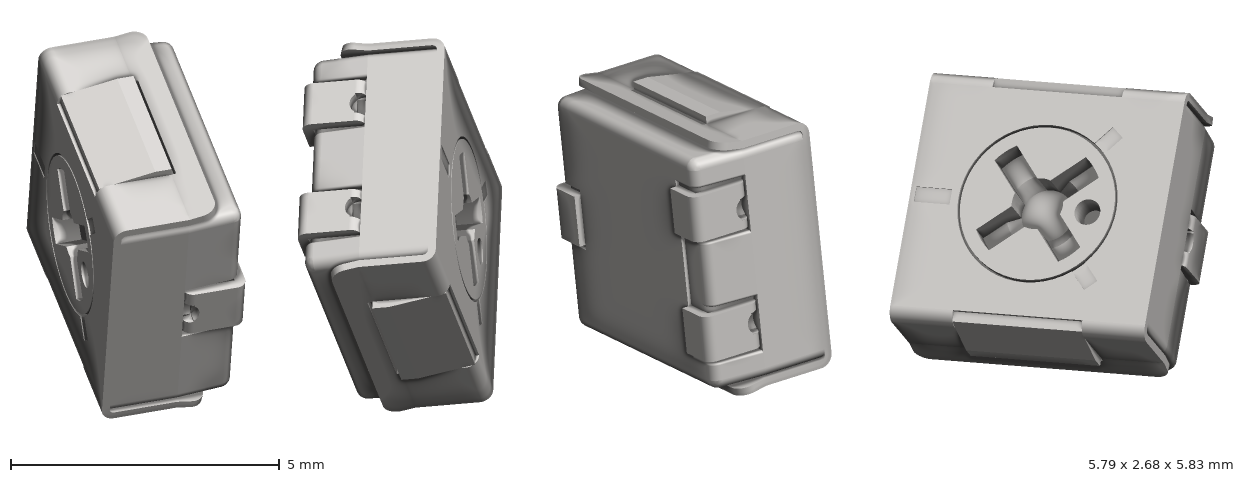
import cadquery as cq
import math

TILT = 10.0

SHEET = 0.15
WIDTH = 5.0
COVER_HEIGHT = 4.9
BEND_OUTER = 0.25
BEND_INNER = BEND_OUTER - SHEET
FLARE_START = 1.466
FLAP_END = 2.05
FLARE_ANGLE = 10.0
FLAP_CORNER = 0.3
ROTOR_WINDOW_DIAMETER = 3.1

TAB_WIDTH = 2.54
TAB_LIFT = 0.15
TAB_SETBACK = 0.05
TAB_STEP = 0.07
TAB_RAMP_START = 0.3
TAB_RAMP_END = 1.15
TAB_WINDOW_END = 1.56

MARK_DEPTH = 0.02
MARK_WIDTH = 0.3
SIDE_MARK_LENGTH = 0.7
SIDE_MARK_EDGE_GAP = 0.1
STOP_MARK_ANGLE = 49.0
STOP_MARK_OUTER = 2.0

HOUSING_HEIGHT = COVER_HEIGHT - 2 * SHEET
SHELF = FLARE_START
HOUSING_BACK = 2.55
SIDE_DRAFT = 5.0
HOUSING_FILLET = 0.2
CHANNEL_EDGE_FILLET = 0.05

TERMINAL_STRIP = 0.2
TERMINAL_OUTER = 2.55
TERMINAL_BACK = 2.68
TERMINAL_REACH = 1.775
TERMINAL_HOLE_DIAMETER = 0.45
TERMINAL_HOLE_SETBACK = 0.071
LEFT_TERMINAL_WIDTH = 0.9
LEFT_TERMINAL_OFFSET = 1.2
LEFT_HOLE_SHIFT = 0.06
RIGHT_TERMINAL_WIDTH = 1.0
CHANNEL_CLEARANCE = 0.1
CHANNEL_FLOOR = TERMINAL_OUTER - TERMINAL_STRIP
RECESS_LEVEL = TERMINAL_BACK - TERMINAL_STRIP

ROTOR_DIAMETER = 3.0
ROTOR_DEPTH = 1.2
SLOT_ANGLE = 40.0
SLOT_WIDTH = 0.5
SLOT_RADIUS = 1.25
SLOT_DEPTH = 0.5
CENTRE_DIAMETER = 1.0
CENTRE_DEPTH = 0.7
CONE_RADIUS = 0.74
DOT_ANGLE = -5.0
DOT_RADIUS = 1.0
DOT_DIAMETER = 0.5
DOT_FLOOR_DIAMETER = 0.4
DOT_DEPTH = 0.5


def block(x_range, y_range, z_range):
    """Box between pairs of limits along each axis."""
    size = [limits[1] - limits[0] for limits in (x_range, y_range, z_range)]
    corner = (x_range[0], y_range[0], z_range[0])
    return cq.Workplane("XY").box(*size, centered=False).translate(corner)


def disc(diameter, start, end):
    """Cylinder along Y, centred on the rotor axis."""
    return cq.Workplane("XZ", origin=(0, start, 0)).circle(diameter / 2).extrude(start - end)


def turned(shape, angle):
    """Turn a shape about the rotor axis, counterclockwise as the face is looked at."""
    return shape.rotate((0, 0, 0), (0, 1, 0), -angle)


def bent_sheet():
    """Upper half of the cover: half the face plate, the bend and the flared flap."""
    outer = COVER_HEIGHT / 2
    inner = outer - SHEET
    bend_line = outer - BEND_OUTER
    flare = math.radians(FLARE_ANGLE)
    inner_tip_rise = (FLAP_END - FLARE_START) * math.tan(flare)
    tip_lean = SHEET * math.sin(flare)
    tip_height = SHEET * math.cos(flare)
    diagonal = math.sqrt(0.5)
    sheet = (
        cq.Workplane("YZ", origin=(-WIDTH / 2, 0, 0))
        .moveTo(0, 0)
        .lineTo(0, bend_line)
        .threePointArc(
            (BEND_OUTER * (1 - diagonal), bend_line + BEND_OUTER * diagonal),
            (BEND_OUTER, outer),
        )
        .lineTo(FLARE_START, outer)
        .lineTo(FLAP_END - tip_lean, inner + inner_tip_rise + tip_height)
        .lineTo(FLAP_END, inner + inner_tip_rise)
        .lineTo(FLARE_START, inner)
        .lineTo(BEND_OUTER, inner)
        .threePointArc(
            (BEND_OUTER - BEND_INNER * diagonal, bend_line + BEND_INNER * diagonal),
            (SHEET, bend_line),
        )
        .lineTo(SHEET, 0)
        .close()
        .extrude(WIDTH)
    )
    return sheet.faces(">Y").edges("not |X").fillet(FLAP_CORNER)


def spring_tab():
    """Tab that leaves the face plate behind a small step, ramps outward and ends level with the shelf."""
    outer = COVER_HEIGHT / 2
    bend_line = outer - BEND_OUTER
    front = outer - TAB_SETBACK
    profile = [
        (TAB_STEP, bend_line - SHEET),
        (TAB_STEP, front),
        (TAB_RAMP_END, outer + TAB_LIFT),
        (FLARE_START, outer + TAB_LIFT),
        (FLARE_START, outer + TAB_LIFT - SHEET),
        (TAB_RAMP_END, outer + TAB_LIFT - SHEET),
        (TAB_RAMP_START, outer - SHEET),
        (SHEET, outer - SHEET),
        (SHEET, bend_line - SHEET),
    ]
    return cq.Workplane("YZ", origin=(-TAB_WIDTH / 2, 0, 0)).polyline(profile).close().extrude(TAB_WIDTH)


def make_cover():
    half = bent_sheet()
    bend_line = COVER_HEIGHT / 2 - BEND_OUTER
    tab_sides = (-TAB_WIDTH / 2, TAB_WIDTH / 2)
    half = half.cut(block(tab_sides, (0, TAB_WINDOW_END), (bend_line, COVER_HEIGHT)))
    half = half.union(spring_tab())
    cover = half.union(half.mirror("XY"))
    cover = cover.cut(disc(ROTOR_WINDOW_DIAMETER, 0, SHEET))

    mark_sides = (-MARK_WIDTH / 2, MARK_WIDTH / 2)
    mark_start = -WIDTH / 2 + SIDE_MARK_EDGE_GAP
    cover = cover.cut(block((mark_start, mark_start + SIDE_MARK_LENGTH), (0, MARK_DEPTH), mark_sides))
    stop_mark = block((ROTOR_DIAMETER / 2, STOP_MARK_OUTER), (0, MARK_DEPTH), mark_sides)
    for angle in (-STOP_MARK_ANGLE, STOP_MARK_ANGLE):
        cover = cover.cut(turned(stop_mark, angle))
    return cover


def terminal_blank(width):
    """C-shaped strip on the -X side: foot, upright and solder tongue."""
    strip = block(
        (-TERMINAL_OUTER, -TERMINAL_REACH), (SHELF, TERMINAL_BACK), (-width / 2, width / 2)
    )
    strip = strip.faces("<X").edges("|Z").fillet(TERMINAL_STRIP)
    hollow = block(
        (-CHANNEL_FLOOR, 0), (SHELF + TERMINAL_STRIP, RECESS_LEVEL), (-width / 2, width / 2)
    )
    return strip.cut(hollow)


def make_terminal(width, hole_shift):
    """Terminal strip with a hole through its bend, open in both the upright and the foot."""
    upright_hole = (
        cq.Workplane("YZ", origin=(-TERMINAL_OUTER, SHELF + TERMINAL_HOLE_SETBACK, hole_shift))
        .circle(TERMINAL_HOLE_DIAMETER / 2)
        .extrude(TERMINAL_STRIP)
    )
    foot_hole = disc(TERMINAL_HOLE_DIAMETER, SHELF, SHELF + TERMINAL_STRIP)
    foot_hole = foot_hole.translate((TERMINAL_HOLE_SETBACK - TERMINAL_OUTER, 0, hole_shift))
    return terminal_blank(width).cut(upright_hole).cut(foot_hole)


def drafted_block(back, half_height):
    """Block from the shelf to a given back level, narrowing in X with the side draft."""
    shelf_half_width = WIDTH / 2
    back_half_width = shelf_half_width - (back - SHELF) * math.tan(math.radians(SIDE_DRAFT))
    return (
        cq.Workplane("XY", origin=(0, 0, -half_height))
        .polyline([
            (-shelf_half_width, SHELF),
            (shelf_half_width, SHELF),
            (back_half_width, back),
            (-back_half_width, back),
        ])
        .close()
        .extrude(2 * half_height)
    )


def terminal_saddle(reach):
    """Lowered part of the crown that the -X terminals wrap around."""
    saddle = block((-CHANNEL_FLOOR, -TERMINAL_REACH), (SHELF, RECESS_LEVEL), (-reach, reach))
    return saddle.faces(">Y").edges("<X").fillet(HOUSING_FILLET)


def make_housing():
    half_width = WIDTH / 2
    half_height = HOUSING_HEIGHT / 2
    base = block((-half_width, half_width), (SHEET, SHELF), (-half_height, half_height))
    rounded_front = base.faces("<Y").edges("|X").fillet(BEND_INNER)
    base = base.edges("|Y").fillet(HOUSING_FILLET).intersect(rounded_front)

    crown = drafted_block(HOUSING_BACK, half_height)
    crown = crown.edges("not(|X or |Z)").fillet(HOUSING_FILLET)
    crown = crown.faces(">Y").edges().fillet(HOUSING_FILLET)

    left_reach = LEFT_TERMINAL_OFFSET + LEFT_TERMINAL_WIDTH / 2 + CHANNEL_CLEARANCE
    right_reach = RIGHT_TERMINAL_WIDTH / 2 + CHANNEL_CLEARANCE
    divider_reach = LEFT_TERMINAL_OFFSET - LEFT_TERMINAL_WIDTH / 2 - CHANNEL_CLEARANCE
    beyond_reach = (-WIDTH, -TERMINAL_REACH)
    depth = (SHELF, TERMINAL_BACK)
    left_station = block(beyond_reach, depth, (-left_reach, left_reach))
    right_station = block(beyond_reach, depth, (-right_reach, right_reach)).mirror("YZ")
    divider = drafted_block(RECESS_LEVEL, divider_reach)
    divider = divider.faces(">Y").edges("<X").fillet(HOUSING_FILLET)
    divider = divider.faces("<Z or >Z").edges("not(|X or |Y)").fillet(CHANNEL_EDGE_FILLET)
    crown = crown.cut(left_station)
    station_edges = cq.selectors.BoxSelector(
        (-WIDTH, SHELF, -left_reach - CHANNEL_EDGE_FILLET),
        (-CHANNEL_FLOOR, HOUSING_BACK, left_reach + CHANNEL_EDGE_FILLET),
    )
    crown = crown.edges(station_edges).edges("not(|X or |Y or |Z)").fillet(CHANNEL_EDGE_FILLET)
    crown = (
        crown.cut(right_station)
        .union(terminal_saddle(left_reach))
        .union(terminal_saddle(right_reach).mirror("YZ"))
        .union(divider.intersect(left_station))
    )

    housing = base.union(crown)
    return housing.cut(disc(ROTOR_DIAMETER, SHEET, ROTOR_DEPTH))


def make_rotor():
    rotor = disc(ROTOR_DIAMETER, 0, ROTOR_DEPTH)
    slot_half = SLOT_WIDTH / 2
    arm = block((-SLOT_RADIUS, SLOT_RADIUS), (0, CENTRE_DEPTH), (-slot_half, slot_half))
    cross = turned(arm, SLOT_ANGLE).union(turned(arm, SLOT_ANGLE + 90))
    cone = cq.Workplane(
        cq.Solid.makeCone(
            CONE_RADIUS,
            CENTRE_DIAMETER / 2,
            CENTRE_DEPTH - SLOT_DEPTH,
            pnt=cq.Vector(0, SLOT_DEPTH, 0),
            dir=cq.Vector(0, 1, 0),
        )
    )
    rotor = rotor.cut(cross.intersect(disc(2 * SLOT_RADIUS, 0, SLOT_DEPTH)))
    rotor = rotor.cut(cross.intersect(cone))
    rotor = rotor.cut(disc(CENTRE_DIAMETER, 0, CENTRE_DEPTH))

    dot = cq.Workplane(
        cq.Solid.makeCone(
            DOT_DIAMETER / 2,
            DOT_FLOOR_DIAMETER / 2,
            DOT_DEPTH,
            pnt=cq.Vector(DOT_RADIUS, 0, 0),
            dir=cq.Vector(0, 1, 0),
        )
    )
    return rotor.cut(turned(dot, DOT_ANGLE))


cover = make_cover()
rotor = make_rotor()
housing = make_housing()

terminals = []
for side in (-1, 1):
    z = side * LEFT_TERMINAL_OFFSET
    terminal = make_terminal(LEFT_TERMINAL_WIDTH, -side * LEFT_HOLE_SHIFT)
    terminals.append(terminal.translate((0, 0, z)))
    housing = housing.cut(terminal_blank(LEFT_TERMINAL_WIDTH).translate((0, 0, z)))
terminals.append(make_terminal(RIGHT_TERMINAL_WIDTH, 0).mirror("YZ"))
housing = housing.cut(terminal_blank(RIGHT_TERMINAL_WIDTH).mirror("YZ"))

bodies = [cover, rotor, housing, *terminals]
result = cq.Compound.makeCompound([turned(body, -TILT).solids().val() for body in bodies])